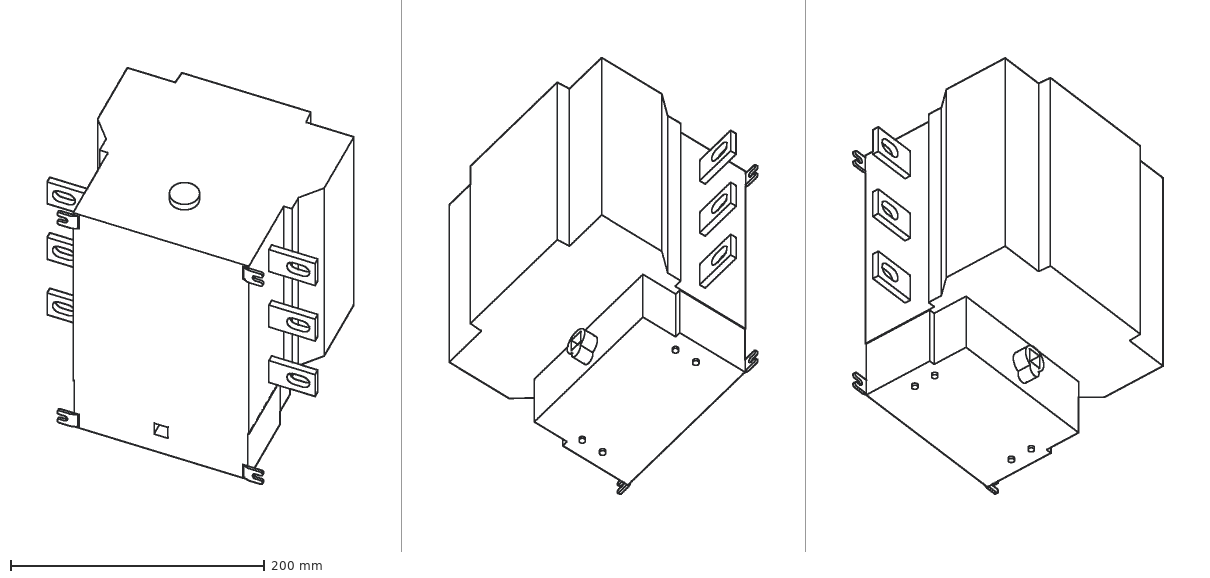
import cadquery as cq


housing_bottom = 52.2
housing_top = 244.7
neck_half_width = 75.2
collar_half_width = 82.3
shoulder_half_width = 97.0
cover_base_half_width = 56.0
cover_top_half_width = 55.2
collar_front = 71.0
flare_front = 84.0
flare_back = 101.5
shoulder_back = 162.0
housing_back = 173.8

base_half_width = 74.5
base_step = 65.5
rear_half_width = 69.2
base_back = 98.5

boss_length = 12.7
boss_radius = 11.1
boss_height = 25.5
lobe_radius = 5.3
lobe_height = 13.2
hole_width = 12.0
hole_rise = 12.5

button_radius = 12.0
button_height = 6.3
button_y = 48.0
foot_radius = 2.5
foot_height = 2.3
foot_x = 59.3
foot_rows_y = (37.5, 58.0)

bar_half_span = 114.7
bar_front = 40.8
bar_thickness = 5.5
bar_width = 25.0
bar_slot_x = 100.3
bar_slot_length = 19.3
bar_slot_width = 12.0
bar_pitch = 63.5
middle_bar_height = 148.2

lug_outer_x = 88.0
lug_flat_x = 76.2
lug_bend_x = 74.2
lug_foot_x = 71.2
lug_inner_x = 70.2
lug_thickness = 2.3
lug_bend_thickness = 1.8
lug_foot_thickness = 0.5
lug_width = 14.0
lug_heights = (8.5, 235.5)
notch_width = 5.3
notch_bottom_x = 79.3
fork_tip_radius = 2.0


def make_housing():
    """Stepped plan outline, mirrored about X = 0 and extruded upwards."""
    right_side = [
        (neck_half_width, 0),
        (neck_half_width, collar_front),
        (collar_half_width, collar_front),
        (collar_half_width, flare_front),
        (shoulder_half_width, flare_back),
        (shoulder_half_width, shoulder_back),
        (cover_base_half_width, shoulder_back),
        (cover_top_half_width, housing_back),
    ]
    left_side = [(-x, y) for x, y in reversed(right_side)]
    outline = cq.Workplane("XY").workplane(offset=housing_bottom).polyline(right_side + left_side).close()
    return outline.extrude(housing_top - housing_bottom)


def make_base():
    """Wide front block joined to a narrower block reaching further back."""
    on_floor = (True, False, False)
    front = cq.Workplane("XY").box(2 * base_half_width, base_step, housing_bottom, centered=on_floor)
    rear = cq.Workplane("XY").box(2 * rear_half_width, base_back, housing_bottom, centered=on_floor)
    return front.union(rear)


def make_boss():
    """Keyhole-shaped boss: a disc with a straight-sided, round-ended lobe hanging below it."""
    plane = cq.Workplane("XZ", origin=(0, base_back, 0))
    boss = plane.center(0, boss_height).circle(boss_radius).extrude(-boss_length)
    lobe = plane.center(0, lobe_height).circle(lobe_radius).extrude(-boss_length)
    stem_height = boss_height - lobe_height
    stem_center = (boss_height + lobe_height) / 2
    stem = plane.center(0, stem_center).rect(2 * lobe_radius, stem_height).extrude(-boss_length)
    return boss.union(lobe).union(stem)


def make_square_hole():
    """Cutter for the square hole that runs from the front face through the boss."""
    plane = cq.Workplane("XZ").center(0, boss_height)
    return plane.rect(hole_width, hole_rise).extrude(-(base_back + boss_length))


def make_button():
    plane = cq.Workplane("XY").workplane(offset=housing_top)
    return plane.center(0, button_y).circle(button_radius).extrude(button_height)


def make_feet():
    centers = [(x, y) for x in (-foot_x, foot_x) for y in foot_rows_y]
    return cq.Workplane("XY").pushPoints(centers).circle(foot_radius).extrude(-foot_height)


def make_bar(height):
    """Flat bar across the whole housing with a slot near each end."""
    plane = cq.Workplane("XZ", origin=(0, bar_front, height))
    bar = plane.rect(2 * bar_half_span, bar_width).extrude(-bar_thickness)
    slots = plane.pushPoints([(-bar_slot_x, 0), (bar_slot_x, 0)]).slot2D(bar_slot_length, bar_slot_width)
    return bar.cut(slots.extrude(-bar_thickness))


def make_right_lug(height):
    """Forked lug on the +X side, tapering onto the front face of the body."""
    profile = [
        (lug_inner_x, 0),
        (lug_outer_x, 0),
        (lug_outer_x, -lug_thickness),
        (lug_flat_x, -lug_thickness),
        (lug_bend_x, -lug_bend_thickness),
        (lug_foot_x, -lug_foot_thickness),
        (lug_inner_x, -lug_foot_thickness),
    ]
    lug = cq.Workplane("XY").polyline(profile).close().extrude(lug_width / 2, both=True)

    notch_length = 2 * (lug_outer_x - notch_bottom_x)
    notch = cq.Workplane("XZ").center(lug_outer_x, 0).slot2D(notch_length, notch_width).extrude(lug_thickness)
    lug = lug.cut(notch)
    return lug.edges("|Y and >X").fillet(fork_tip_radius).translate((0, 0, height))


body = make_housing().union(make_base()).union(make_boss())
body = body.union(make_button()).union(make_feet())

for step in (-1, 0, 1):
    body = body.union(make_bar(middle_bar_height + step * bar_pitch))

for lug_height in lug_heights:
    right_lug = make_right_lug(lug_height)
    body = body.union(right_lug).union(right_lug.mirror("YZ"))

result = body.cut(make_square_hole())